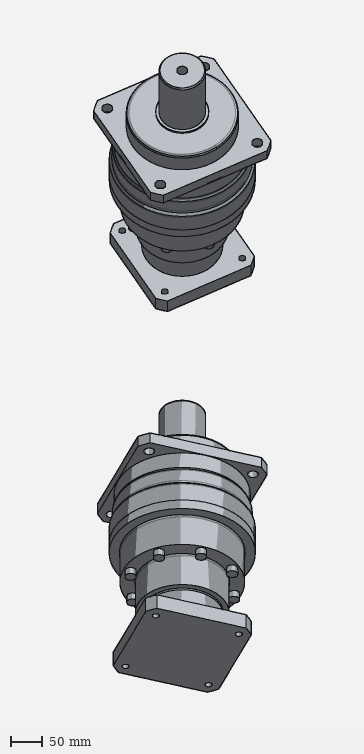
import cadquery as cq
import math

input_flange_top = 27.0
adapter_bottom = 75.0
bolt_head_bottom = 125.0
gear_case_bottom = 137.0
ring_bottom = 196.0
joint_level = 213.0
ring_top = 245.0
band_top = 277.5
mount_flange_bottom = 314.5
mount_flange_top = 334.5
pilot_top = 368.2
collar_top = 371.5
shaft_end = 477.0

shaft_diameter = 75.0
collar_diameter = 85.0
pilot_diameter = 180.0
neck_diameter = 218.0
band_diameter = 224.0
ring_diameter = 234.0
gear_case_diameter = 200.0
adapter_diameter = 150.3
input_neck_diameter = 130.0

shaft_chamfer_width = 2.0
shaft_chamfer_height = 3.0
pilot_bevel_width = 1.5
pilot_bevel_height = 3.0
pilot_slope_width = 3.5
pilot_slope_height = 1.0
shoulder_bevel_width = 0.5
shoulder_bevel_height = 2.5
flare_width = 1.0
band_flare_height = 4.5
band_slope_height = 4.5
neck_flare_height = 3.0
neck_slope_height = 2.5
case_flare_height = 4.0
adapter_flare_height = 4.0
input_flare_height = 3.0

corner_count = 4
first_corner_angle = 45
mount_flange_side = 220.0
mount_corner_diameter = 290.0
mount_hole_circle = 250.0
mount_hole_diameter = 17.0
input_flange_side = 180.0
input_corner_diameter = 235.0
input_hole_circle = 200.0
input_hole_diameter = 11.0

bolt_count = 8
bolt_circle = 176.0
bolt_head_diameter = 18.0

centre_hole_diameter = 17.0
centre_hole_depth = 43.0
drill_point_angle = 118.0


def turned(profile):
    """Solid of revolution about Z from (diameter, level) points, closed along the axis."""
    points = [(diameter / 2, level) for diameter, level in profile]
    on_axis = [(0, profile[-1][1]), (0, profile[0][1])]
    return cq.Workplane("XZ").polyline(points + on_axis).close().revolve(360, (0, 0), (0, 1))


def disc(diameter, bottom, top):
    return cq.Workplane("XY").workplane(offset=bottom).circle(diameter / 2).extrude(top - bottom)


def square_flange(side, corner_diameter, hole_circle, hole_diameter, bottom, top):
    """Square plate with round-turned corners and one through hole near each corner."""
    plate = cq.Workplane("XY").workplane(offset=bottom).rect(side, side).extrude(top - bottom)
    plate = plate.intersect(disc(corner_diameter, bottom, top))
    holes = (
        cq.Workplane("XY")
        .workplane(offset=bottom)
        .polarArray(hole_circle / 2, first_corner_angle, 360, corner_count)
        .circle(hole_diameter / 2)
        .extrude(top - bottom)
    )
    return plate.cut(holes)


def output_shaft():
    """Chamfered shaft on its collar, with a drilled centre hole."""
    shaft = disc(shaft_diameter, pilot_top, shaft_end)
    shaft = shaft.faces(">Z").chamfer(shaft_chamfer_height, shaft_chamfer_width)
    collar = disc(collar_diameter, pilot_top, collar_top)
    hole_floor = shaft_end - centre_hole_depth
    point_depth = centre_hole_diameter / 2 / math.tan(math.radians(drill_point_angle / 2))
    hole = turned([
        (0, hole_floor - point_depth),
        (centre_hole_diameter, hole_floor),
        (centre_hole_diameter, shaft_end),
    ])
    return shaft.union(collar).cut(hole)


def shoulder(lower_diameter, upper_diameter, level, slope_height, flare_height):
    """Points of a bevel, a slope and a flare leading from a wide section up to a narrower one."""
    slope_bottom = level + shoulder_bevel_height
    flare_bottom = slope_bottom + slope_height
    return [
        (lower_diameter, level),
        (lower_diameter - 2 * shoulder_bevel_width, slope_bottom),
        (upper_diameter + 2 * flare_width, flare_bottom),
        (upper_diameter, flare_bottom + flare_height),
    ]


def output_housing():
    """Turned housing from the joint up to the mounting flange."""
    band_shoulder = shoulder(ring_diameter, band_diameter, ring_top, band_slope_height, band_flare_height)
    neck_shoulder = shoulder(band_diameter, neck_diameter, band_top, neck_slope_height, neck_flare_height)
    return turned([
        (ring_diameter, joint_level),
        *band_shoulder,
        *neck_shoulder,
        (neck_diameter, mount_flange_bottom),
    ])


def pilot():
    """Centring pilot on the mounting flange, its rim broken by a bevel and a shallow slope."""
    slope_bottom = pilot_top - pilot_slope_height
    bevelled_diameter = pilot_diameter - 2 * pilot_bevel_width
    return turned([
        (pilot_diameter, mount_flange_top),
        (pilot_diameter, slope_bottom - pilot_bevel_height),
        (bevelled_diameter, slope_bottom),
        (bevelled_diameter - 2 * pilot_slope_width, pilot_top),
    ])


def output_stage():
    """Upper body: housing, mounting flange, centring pilot and shaft."""
    flange = square_flange(
        mount_flange_side, mount_corner_diameter, mount_hole_circle, mount_hole_diameter,
        mount_flange_bottom, mount_flange_top,
    )
    return output_housing().union(flange).union(pilot()).union(output_shaft())


def input_housing():
    """Turned housing from the input flange up to the joint."""
    return turned([
        (input_neck_diameter, input_flange_top),
        (input_neck_diameter, adapter_bottom - input_flare_height),
        (input_neck_diameter + 2 * flare_width, adapter_bottom),
        (adapter_diameter, adapter_bottom),
        (adapter_diameter, gear_case_bottom - adapter_flare_height),
        (adapter_diameter + 2 * flare_width, gear_case_bottom),
        (gear_case_diameter, gear_case_bottom),
        (gear_case_diameter, ring_bottom - case_flare_height),
        (gear_case_diameter + 2 * flare_width, ring_bottom),
        (ring_diameter, ring_bottom),
        (ring_diameter, joint_level),
    ])


def bolt_heads():
    """Ring of bolt heads hanging from the underside of the gear case."""
    return (
        cq.Workplane("XY")
        .workplane(offset=bolt_head_bottom)
        .polarArray(bolt_circle / 2, 0, 360, bolt_count)
        .circle(bolt_head_diameter / 2)
        .extrude(gear_case_bottom - bolt_head_bottom)
    )


def input_stage():
    """Lower body: housing, bolt heads and input flange."""
    flange = square_flange(
        input_flange_side, input_corner_diameter, input_hole_circle, input_hole_diameter,
        0, input_flange_top,
    )
    return input_housing().union(bolt_heads()).union(flange)


output_body = output_stage()
input_body = input_stage()
result = cq.Compound.makeCompound([output_body.val(), input_body.val()])